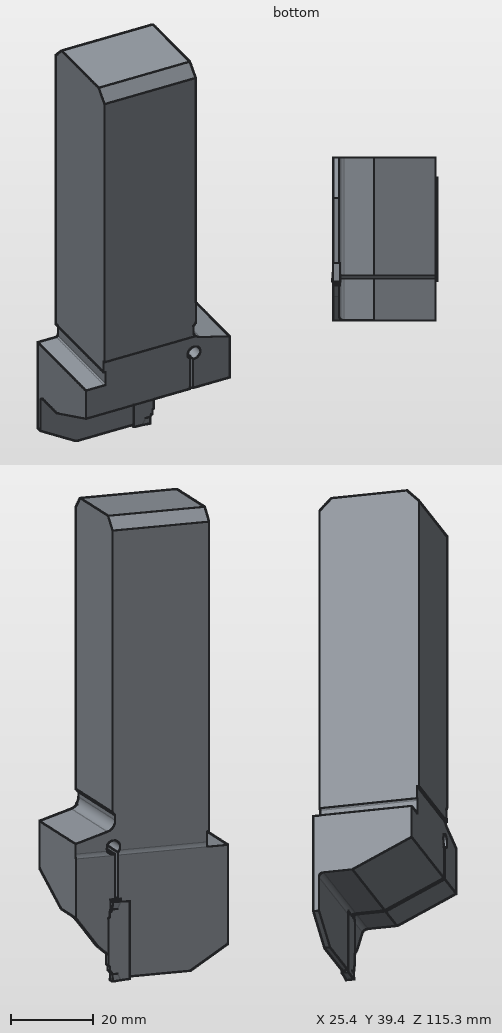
import cadquery as cq
import math

total_height = 115.3
shank_width = 25.0
shank_chamfer = 3.0

head_left = -0.17
head_right = 24.5
head_front = -4.8
head_back = 34.6
shoulder_z = 31.4
ramp_top_z = 32.5
right_step_z = 38.3
blade_right = 1.3
blade_top_z = 16.5
blade_root_radius = 1.2
slope_start_x = 9.7
slope_end_z = 23.3
blade_bottom_z = 0.8
front_bevel_y = 5.0
front_bevel_z = 6.7

front_groove_depth = 0.6
front_groove_z = 35.2
front_groove_radius = 0.3
back_groove_depth = 0.7
back_groove_z = 42.1
back_groove_end_z = 41.3
jaw_root_z = 37.9
jaw_top_z = 35.0
jaw_root_radius = 2.8

jaw_corner_z = 16.6
jaw_bend_y = 28.8
jaw_bend_z = 9.0
jaw_end_y = 26.2
jaw_end_z = 6.7

hole_y = 24.8
hole_z = 33.3
hole_radius = 1.7
slot_front = 23.6
slot_back = 24.4

insert_mid_x = 0.6
insert_thickness = 1.7
tip_width = 2.1
insert_length = 19.8
insert_seat_y = 20.6
insert_edge_y = 25.1
insert_back_y = 26.2
end_clearance = 0.2
tip_height = 1.8
edge_face_top = 1.7
chip_ledge_y = 25.5
chip_ledge_z = 2.4
back_step_y = 25.8
back_step_low = 2.5
back_step_high = 3.7
back_face_z = 4.0
tip_seat_y = 23.9
tip_end_y = 23.0

pocket_front = 23.0
pocket_back = 25.6
pocket_bottom = 17.8
pocket_top = 20.4


def box(x_range, y_range, z_range):
    """Box between two limits on each axis."""
    size = [high - low for low, high in (x_range, y_range, z_range)]
    corner = (x_range[0], y_range[0], z_range[0])
    return cq.Workplane("XY").box(*size, centered=False).translate(corner)


def side_shape():
    """Side outline in the YZ plane, extruded across the full width in X."""
    groove_y = shank_width - back_groove_depth
    points = [
        (0, total_height),
        (0, front_groove_z),
        (front_groove_depth, front_groove_z),
        (front_groove_depth, shoulder_z),
        (head_front, shoulder_z),
        (head_front, front_bevel_z),
        (front_bevel_y, blade_bottom_z),
        (insert_seat_y, blade_bottom_z),
        (insert_seat_y, jaw_end_z),
        (jaw_end_y, jaw_end_z),
        (jaw_bend_y, jaw_bend_z),
        (head_back, jaw_corner_z),
        (head_back, jaw_top_z),
        (groove_y, jaw_root_z),
        (groove_y, back_groove_end_z),
        (shank_width, back_groove_z),
        (shank_width, total_height),
    ]
    solid = (
        cq.Workplane("YZ").workplane(offset=head_left).polyline(points).close()
        .extrude(shank_width - head_left)
    )
    jaw_root = cq.selectors.NearestToPointSelector((shank_width / 2, groove_y, jaw_root_z))
    solid = solid.edges("|X").edges(jaw_root).fillet(jaw_root_radius)
    for corner_z in (front_groove_z, shoulder_z):
        corner = cq.selectors.NearestToPointSelector((shank_width / 2, front_groove_depth, corner_z))
        solid = solid.edges("|X").edges(corner).fillet(front_groove_radius)
    return solid


def front_shape():
    """Front outline in the XZ plane, extruded along the full depth in Y."""
    points = [
        (shank_chamfer, total_height),
        (0, total_height - shank_chamfer),
        (0, ramp_top_z),
        (head_left, shoulder_z),
        (head_left, 0),
        (blade_right, 0),
        (blade_right, blade_top_z),
        (slope_start_x, blade_top_z),
        (head_right, slope_end_z),
        (head_right, right_step_z),
        (shank_width, right_step_z),
        (shank_width, total_height - shank_chamfer),
        (shank_width - shank_chamfer, total_height),
    ]
    ramp_middle = (head_left / 4, (ramp_top_z + shoulder_z) / 2)
    solid = (
        cq.Workplane("XZ").workplane(offset=-head_back).polyline(points[:3])
        .threePointArc(ramp_middle, points[3]).polyline(points[3:]).close()
        .extrude(head_back - head_front)
    )
    blade_root = cq.selectors.NearestToPointSelector((blade_right, 0, blade_top_z))
    return solid.edges("|Y").edges(blade_root).fillet(blade_root_radius)


def insert_blank():
    """Flat body of the insert, with the stepped chip faces at both ends."""
    lower = [
        (insert_seat_y, end_clearance),
        (insert_edge_y, 0),
        (insert_edge_y, edge_face_top),
        (chip_ledge_y, chip_ledge_z),
        (back_step_y, back_step_low),
        (back_step_y, back_step_high),
        (insert_back_y, back_face_z),
    ]
    upper = [(y, insert_length - z) for y, z in reversed(lower)]
    return (
        cq.Workplane("YZ").workplane(offset=insert_mid_x - insert_thickness / 2)
        .polyline(lower + upper).close().extrude(insert_thickness)
    )


def lower_tip():
    """Widened cutting tip whose flanks taper into the insert along a slanted line."""
    points = [
        (insert_edge_y, tip_height),
        (tip_seat_y, tip_height),
        (tip_end_y, end_clearance / 2),
        (insert_edge_y, 0),
    ]
    prism = (
        cq.Workplane("YZ").workplane(offset=insert_mid_x - tip_width / 2)
        .polyline(points).close().extrude(tip_width)
    )
    run = tip_seat_y - tip_end_y
    rise = tip_height - end_clearance / 2
    slant = math.hypot(run, rise)
    reach = ((insert_edge_y - tip_seat_y) * rise + tip_height * run) / slant
    plane = cq.Plane(
        origin=(insert_mid_x, tip_seat_y, tip_height),
        xDir=(1, 0, 0),
        normal=(0, run, rise),
    )
    half_root = insert_thickness / 2
    half_edge = tip_width / 2
    flanks = (
        cq.Workplane(plane)
        .polyline([(-half_root, 0), (half_root, 0), (half_edge, reach), (-half_edge, reach)])
        .close().extrude(insert_length, both=True)
    )
    return prism.intersect(flanks)


def make_insert():
    """Blank with a cutting tip at each end."""
    tip = lower_tip()
    mid_height = (0, 0, insert_length / 2)
    return insert_blank().union(tip).union(tip.mirror("XY", mid_height))


def make_holder(insert):
    """Shank and head in one, with the clamping slot and a seat that fits the insert."""
    tip_right = insert_mid_x + tip_width / 2
    across = (head_left, shank_width)
    hole = (
        cq.Workplane("YZ").workplane(offset=head_left).center(hole_y, hole_z)
        .circle(hole_radius).extrude(shank_width - head_left)
    )
    slot = box(across, (slot_front, slot_back), (insert_length / 2, hole_z))
    pocket = box((head_left, tip_right), (pocket_front, pocket_back), (pocket_bottom, pocket_top))
    holder = side_shape().intersect(front_shape())
    return holder.cut(hole).cut(slot).cut(pocket).cut(insert)


insert = make_insert()
holder = make_holder(insert)
result = cq.Compound.makeCompound([holder.solids().val(), insert.solids().val()])